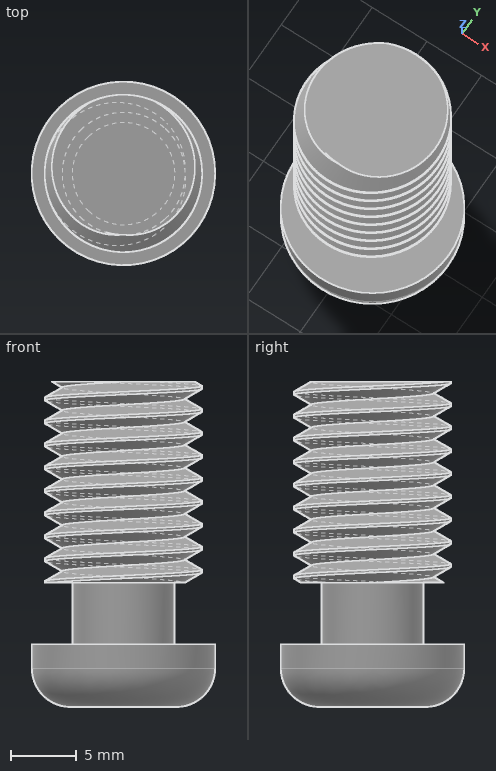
import cadquery as cq
import math

total_height = 24.8
head_diameter = 14.0
head_height = 4.8
head_edge_radius = 2.98
neck_diameter = 7.8

thread_diameter = 12.0
thread_length = 15.3
pitch = thread_diameter * 7 / 48
crest_width = pitch / 8
flank_angle = math.radians(30)
groove_overshoot = 0.07
spare_turns = 2
seam_angle = 90

thread_bottom = total_height - thread_length
crest_radius = thread_diameter / 2
groove_half_width = (pitch - crest_width) / 2
root_radius = crest_radius - groove_half_width / math.tan(flank_angle)


def make_head():
    head = cq.Workplane("XY").circle(head_diameter / 2).extrude(head_height)
    return head.faces("<Z").edges().fillet(head_edge_radius)


def make_neck():
    neck = cq.Workplane("XY").workplane(offset=head_height)
    return neck.circle(neck_diameter / 2).extrude(thread_bottom - head_height)


def make_groove():
    """V-shaped helical cutter that runs past both ends of the thread."""
    turns = math.ceil(thread_length / pitch) + spare_turns
    rise = turns * pitch
    start_height = total_height + pitch / 4 - (turns - 1) * pitch
    outer_radius = crest_radius + groove_overshoot
    outer_half_width = (outer_radius - root_radius) * math.tan(flank_angle)
    corners = [
        (root_radius, start_height),
        (outer_radius, start_height + outer_half_width),
        (outer_radius, start_height - outer_half_width),
    ]
    helices = [
        cq.Wire.makeHelix(pitch, rise, radius, center=cq.Vector(0, 0, height))
        for radius, height in corners
    ]
    faces = [cq.Face.makeRuledSurface(helices[i - 1], helices[i]) for i in range(len(helices))]
    for lift in (0, rise):
        triangle = [cq.Vector(radius, 0, height + lift) for radius, height in corners]
        faces.append(cq.Face.makeFromWires(cq.Wire.makePolygon(triangle, close=True)))
    return cq.Solid.makeSolid(cq.Shell.makeShell(faces))


def make_thread():
    shank = cq.Workplane("XY").workplane(offset=thread_bottom).circle(crest_radius).extrude(thread_length)
    shank = shank.rotate((0, 0, 0), (0, 0, 1), seam_angle)
    return shank.cut(cq.Workplane(make_groove()))


result = make_head().union(make_neck()).union(make_thread())